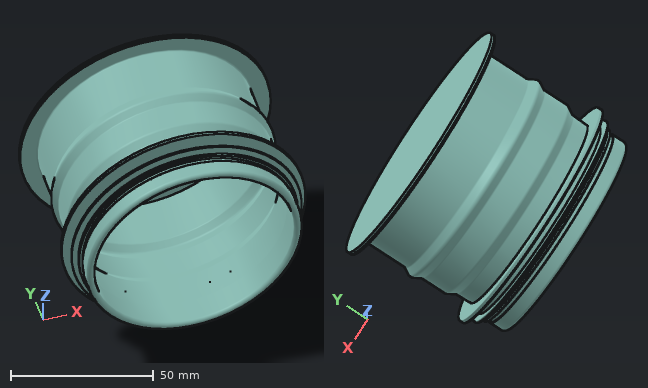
import cadquery as cq
import math


length = 62.0
flange_radius = 46.0
wall = 0.51

barrel_radius = 79.1 / 2
neck_radius = 74.3 / 2
neck_shoulder_radius = 37.65
neck_taper_start = 9.85
cone_start = 21.9
cone_end = 25.0
cone_start_bend = 1.2
cone_end_bend = 1.8
bead_center = 38.6
bead_half_width = 3.4
bead_height = 1.9
bead_foot_bend = 1.2
bead_crest_bend = 1.75
flange_bend = 0.55

hem_end = 6.2
hem_inner_radius = barrel_radius - wall
hem_bend = (barrel_radius - neck_radius + wall) / 2
hem_middle_radius = barrel_radius - hem_bend

plate_thickness = 1.1
flange_back = length - plate_thickness
flange_front = flange_back - wall

gasket_end = 15.65
small_lip_radius = 40.2
small_lip_start = 8.0
small_lip_end = 9.1
middle_lip_radius = 84.4 / 2
middle_lip_start = 9.9
middle_lip_end = 11.2
large_lip_radius = 44.7
large_lip_start = 13.7
lip_root_radius = hem_inner_radius - wall
lip_taper = 0.3
lip_tip_fillet = 0.3


def revolve_about_y(profile):
    return profile.close().revolve(360, (0, 0, 0), (0, 1, 0))


def rounded_path(profile, start, corners, end):
    """Draw lines from start to end; each corner is (radius, y, bend radius)."""
    points = [start] + [corner[:2] for corner in corners] + [end]
    for before, corner, after in zip(points, corners, points[2:]):
        vertex = cq.Vector(*corner[:2])
        bend = corner[2]
        back = (cq.Vector(*before) - vertex).normalized()
        ahead = (cq.Vector(*after) - vertex).normalized()
        half_angle = back.getAngle(ahead) / 2
        setback = bend / math.tan(half_angle)
        middle_distance = bend / math.sin(half_angle) - bend
        arc_start = vertex + back * setback
        arc_middle = vertex + (back + ahead).normalized() * middle_distance
        arc_end = vertex + ahead * setback
        profile = profile.lineTo(arc_start.x, arc_start.y)
        profile = profile.threePointArc((arc_middle.x, arc_middle.y), (arc_end.x, arc_end.y))
    return profile.lineTo(*end)


def barrel_corners(inset, end_bend, flange_y):
    """Bends from the neck to the flange on a surface lying inset inside the outer one."""
    barrel = barrel_radius - inset
    return [
        (neck_shoulder_radius - inset, cone_start, cone_start_bend),
        (barrel, cone_end, cone_end_bend),
        (barrel, bead_center - bead_half_width, bead_foot_bend),
        (barrel + bead_height, bead_center, bead_crest_bend),
        (barrel, bead_center + bead_half_width, bead_foot_bend),
        (barrel, flange_y, end_bend),
    ]


def make_tube():
    neck_inner_radius = neck_radius - wall
    neck_outer = (neck_radius, neck_taper_start)
    neck_inner = (neck_inner_radius, neck_taper_start)
    outer_corners = barrel_corners(0, flange_bend, flange_front)
    inner_corners = barrel_corners(wall, flange_bend + wall, flange_back)

    profile = cq.Workplane("XY").moveTo(neck_radius, hem_bend).lineTo(*neck_outer)
    profile = rounded_path(profile, neck_outer, outer_corners, (flange_radius, flange_front))
    profile = profile.lineTo(flange_radius, flange_back)
    profile = rounded_path(profile, (flange_radius, flange_back), inner_corners[::-1], neck_inner)
    profile = (
        profile.lineTo(neck_inner_radius, hem_bend)
        .threePointArc((hem_middle_radius, 0), (barrel_radius, hem_bend))
        .lineTo(barrel_radius, hem_end)
        .lineTo(hem_inner_radius, hem_end)
        .lineTo(hem_inner_radius, hem_bend)
        .threePointArc((hem_middle_radius, wall), (neck_radius, hem_bend))
    )
    return revolve_about_y(profile)


def make_plain_lip():
    """Square-edged ring nearest the hem."""
    lip = cq.Workplane("XZ", origin=(0, small_lip_end, 0)).circle(small_lip_radius)
    return lip.circle(lip_root_radius).extrude(small_lip_end - small_lip_start)


def make_tapered_lip(tip_radius, start, end):
    """Ring with a flat +Y face, a -Y face that thins toward the tip and a rounded tip."""
    profile = (
        cq.Workplane("XY")
        .moveTo(lip_root_radius, start)
        .lineTo(hem_inner_radius, start)
        .lineTo(tip_radius, start + lip_taper)
        .lineTo(tip_radius, end)
        .lineTo(lip_root_radius, end)
    )
    tip_edges = cq.selectors.RadiusNthSelector(-1)
    return revolve_about_y(profile).edges("%CIRCLE").edges(tip_edges).fillet(lip_tip_fillet)


def make_gasket():
    taper = (neck_shoulder_radius - neck_radius) / (cone_start - neck_taper_start)
    end_inner_radius = neck_radius + taper * (gasket_end - neck_taper_start)
    profile = (
        cq.Workplane("XY")
        .moveTo(neck_radius, hem_bend)
        .lineTo(hem_inner_radius, hem_bend)
        .lineTo(hem_inner_radius, gasket_end)
        .lineTo(end_inner_radius, gasket_end)
        .lineTo(neck_radius, neck_taper_start)
    )
    return (
        revolve_about_y(profile)
        .union(make_plain_lip())
        .union(make_tapered_lip(middle_lip_radius, middle_lip_start, middle_lip_end))
        .union(make_tapered_lip(large_lip_radius, large_lip_start, gasket_end))
    )


def make_end_plate():
    return cq.Workplane("XZ", origin=(0, length, 0)).circle(flange_radius).extrude(plate_thickness)


tube = make_tube()
gasket = make_gasket()
end_plate = make_end_plate()

result = cq.Compound.makeCompound([tube.val(), gasket.val(), end_plate.val()])